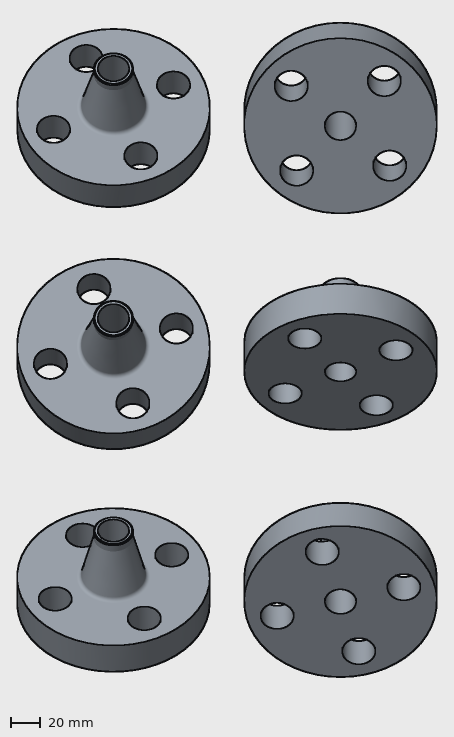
import cadquery as cq

flange_diameter = 130.0
flange_thickness = 25.4
total_height = 69.8

bolt_circle_diameter = 88.9
bolt_hole_diameter = 22.4
bolt_hole_count = 4

neck_diameter = 26.7
neck_length = 6.5
neck_chamfer = 0.8
cone_base_diameter = 44.5
hub_fillet_radius = 3.1
bore_diameter = 21.0


def make_plate():
    """Round plate with its underside on Z = 0."""
    return cq.Workplane("XY").circle(flange_diameter / 2).extrude(flange_thickness)


def make_hub():
    """Cone and straight neck, revolved about Z."""
    neck_radius = neck_diameter / 2
    profile = (
        cq.Workplane("XZ")
        .moveTo(0, flange_thickness)
        .lineTo(cone_base_diameter / 2, flange_thickness)
        .lineTo(neck_radius, total_height - neck_length)
        .lineTo(neck_radius, total_height)
        .lineTo(0, total_height)
        .close()
    )
    return profile.revolve(360, (0, 0, 0), (0, 1, 0))


def make_bolt_holes():
    """Through holes on the bolt circle, the first one on +X."""
    return (
        cq.Workplane("XY")
        .polarArray(bolt_circle_diameter / 2, 0, 360, bolt_hole_count)
        .circle(bolt_hole_diameter / 2)
        .extrude(flange_thickness)
    )


def make_bore():
    """Through bore along the hub axis."""
    return cq.Workplane("XY").circle(bore_diameter / 2).extrude(total_height)


cone_base_edge = cq.selectors.RadiusNthSelector(1)

body = make_plate().union(make_hub())
body = body.edges(cone_base_edge).fillet(hub_fillet_radius)
body = body.faces(">Z").edges().chamfer(neck_chamfer)
result = body.cut(make_bolt_holes()).cut(make_bore())